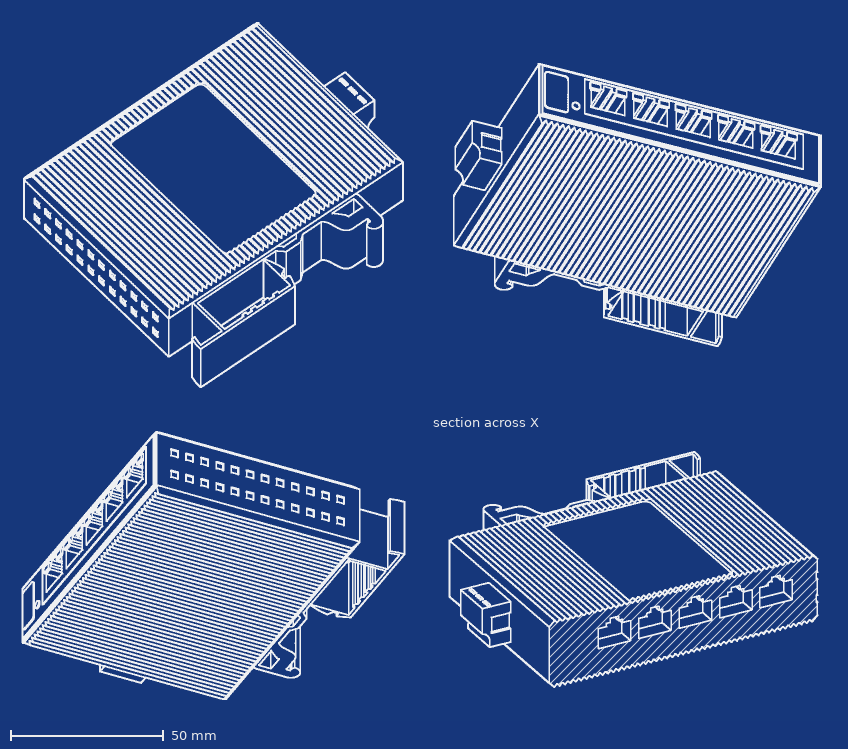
import cadquery as cq

overall_x = 91.5
overall_y = 110.5
overall_z = 24.9

housing_length = 100.0
housing_back_x = 75.2
raised_height = 0.4
face_x = raised_height
rib_pitch = 2.0
rib_height = rib_pitch / 2
rib_end_slope = 2.0
rib_tip_z = overall_z / 2
rib_valley_z = rib_tip_z - rib_height
side_half_height = rib_tip_z - rib_end_slope
body_front_x = 1.3
slope_front_x = 0.9
rib_count = round((housing_length - 2 * rib_end_slope) / rib_pitch) + 1

plate_rim_x = 0.8
plate_half_height = side_half_height + body_front_x - slope_front_x
rim_chamfer = 0.3
rim_width_y = 1.1
rim_width_z = 0.75

label_length_x = 60.0
label_length_y = 40.0
label_centre_x = 38.0
label_corner_radius = 2.5
label_floor_z = rib_valley_z - 0.45

vent_columns = 12
vent_pitch = 5.5
vent_first_x = 7.7
vent_row_z = 4.25
vent_size = 2.6
vent_depth = 0.5

port_count = 5
port_pitch = 15.05
port_first_y = 15.45
port_depth = 12.0
port_width = 11.9
port_floor_z = -2.2
port_shoulder_z = 5.1
port_neck_width = 5.8
port_neck_top_z = 6.3
port_key_width = 3.0
port_key_top_z = 7.8
light_width = 3.5
light_spacing = 9.3
light_bottom_z = 5.45
light_top_z = 7.6
light_sink = 1.0

insert_length = 77.2
insert_centre_y = 45.3
insert_top_z = 8.8
insert_bottom_z = -5.8
insert_depth = 0.2

name_plate_length = 8.2
name_plate_height = 15.0
name_plate_centre_y = 94.0
name_plate_corner_radius = 1.2
power_light_diameter = 2.6
power_light_y = 87.15
power_light_z = -3.75

plug_width = 15.0
plug_centre_x = 40.5
plug_top_z = 7.5
plug_step_y = 107.8
plug_nose_bottom_z = -1.9
plug_scoop_end_z = -6.0
plug_slot_count = 3
plug_slot_pitch = 4.7
plug_slot_length = 3.2
plug_slot_width = 1.1
plug_slot_y = 107.5
plug_slot_depth = 1.0
plug_recess_end_y = 107.1
plug_recess_top_z = 3.4
plug_recess_bottom_z = -2.5
plug_recess_depth = 1.0

clip_half_height = side_half_height
clip_wall = 1.2
clip_web_x = housing_back_x + clip_wall
clip_outer_wall = 1.3
spring_x = 76.8
spring_top_y = 63.8
roof_y = 40.0
clip_inner_x = overall_x - clip_outer_wall


def box(x0, x1, y0, y1, z0, z1):
    """Box between two opposite corners."""
    return cq.Workplane("XY").box(x1 - x0, y1 - y0, z1 - z0, centered=False).translate((x0, y0, z0))


def clip_prism(outline):
    """Extrude an XY outline over the full height of the clip."""
    return outline.close().extrude(clip_half_height, both=True)


def ribbed_edge():
    """Points along the upper ribs, from Y = 0 to the far side."""
    points = [(0, side_half_height)]
    for i in range(rib_count):
        tip_y = rib_end_slope + i * rib_pitch
        points.append((tip_y, rib_tip_z))
        if i < rib_count - 1:
            points.append((tip_y + rib_pitch / 2, rib_valley_z))
    points.append((housing_length, side_half_height))
    return points


def make_housing():
    upper = ribbed_edge()
    lower = [(y, -z) for y, z in reversed(upper)]
    ribbed = cq.Workplane("YZ").polyline(upper + lower).close().extrude(housing_back_x)

    half_outline = [
        (body_front_x, plate_half_height),
        (slope_front_x + rib_end_slope, rib_tip_z),
        (housing_back_x - rib_end_slope, rib_tip_z),
        (housing_back_x, side_half_height),
    ]
    mirrored = [(x, -z) for x, z in reversed(half_outline)]
    envelope = cq.Workplane("XZ").polyline(half_outline + mirrored).close().extrude(-housing_length)
    return ribbed.intersect(envelope)


def make_front_plate():
    """Plate over the port end: chamfered rim with a slightly raised face."""
    rim = box(plate_rim_x, body_front_x, 0, housing_length, -plate_half_height, plate_half_height)
    rim = rim.faces("<X").chamfer(rim_chamfer)
    face_half_height = plate_half_height - rim_width_z
    face = box(face_x, body_front_x, rim_width_y, housing_length - rim_width_y,
               -face_half_height, face_half_height)
    return rim.union(face)


def make_label_recess():
    recess = cq.Workplane("XY").workplane(offset=label_floor_z)
    recess = recess.center(label_centre_x, housing_length / 2).rect(label_length_x, label_length_y)
    return recess.extrude(overall_z).edges("|Z").fillet(label_corner_radius)


def make_vents():
    places = []
    for i in range(vent_columns):
        for z in (-vent_row_z, vent_row_z):
            places.append((vent_first_x + i * vent_pitch, z))
    return cq.Workplane("XZ").pushPoints(places).rect(vent_size, vent_size).extrude(-vent_depth)


def port_centres():
    return [port_first_y + i * port_pitch for i in range(port_count)]


def make_port_opening(centre_y):
    """Opening of one port: wide body, neck between the lights, latch key."""
    back_x = face_x + port_depth
    steps = (
        (port_width, port_shoulder_z),
        (port_neck_width, port_neck_top_z),
        (port_key_width, port_key_top_z),
    )
    opening = cq.Workplane("XY")
    for width, top_z in steps:
        opening = opening.union(
            box(0, back_x, centre_y - width / 2, centre_y + width / 2, port_floor_z, top_z)
        )
    return opening


def make_port_lights(centre_y):
    lights = cq.Workplane("XY")
    for side in (-1, 1):
        y = centre_y + side * light_spacing / 2
        lights = lights.union(
            box(0, face_x + light_sink, y - light_width / 2, y + light_width / 2,
                light_bottom_z, light_top_z)
        )
    return lights


def make_insert_recess():
    return box(0, face_x + insert_depth,
               insert_centre_y - insert_length / 2, insert_centre_y + insert_length / 2,
               insert_bottom_z, insert_top_z)


def make_name_plate():
    plate = cq.Workplane("YZ").center(name_plate_centre_y, 0).rect(name_plate_length, name_plate_height)
    return plate.extrude(face_x + light_sink).edges("|X").fillet(name_plate_corner_radius)


def make_power_light():
    light = cq.Workplane("YZ").center(power_light_y, power_light_z)
    return light.circle(power_light_diameter / 2).extrude(face_x + light_sink)


def make_plug():
    mid_y = (plug_step_y + overall_y) / 2
    mid_z = (plug_nose_bottom_z + plug_scoop_end_z) / 2
    scoop_bulge = 0.7
    profile = (
        cq.Workplane("YZ")
        .workplane(offset=plug_centre_x - plug_width / 2)
        .moveTo(housing_length, plug_top_z)
        .lineTo(overall_y, plug_top_z)
        .lineTo(overall_y, plug_nose_bottom_z)
        .threePointArc((mid_y - scoop_bulge, mid_z + scoop_bulge), (plug_step_y, plug_scoop_end_z))
        .lineTo(plug_step_y, -plug_top_z)
        .lineTo(housing_length, -plug_top_z)
        .close()
    )
    plug = profile.extrude(plug_width)

    slots = (
        cq.Workplane("XY")
        .workplane(offset=plug_top_z)
        .center(plug_centre_x, plug_slot_y)
        .rarray(plug_slot_pitch, 1, plug_slot_count, 1)
        .rect(plug_slot_length, plug_slot_width)
        .extrude(-plug_slot_depth)
    )
    side_x = plug_centre_x - plug_width / 2
    side_recess = box(side_x, side_x + plug_recess_depth, housing_length, plug_recess_end_y,
                      plug_recess_bottom_z, plug_recess_top_z)
    return plug.cut(slots).cut(side_recess)


def make_clip_hook():
    """Fixed arm with a rounded hook that grips one edge of the rail."""
    hook_radius = 3.1
    hook_x = 87.6
    arm_top_y = 80.2
    hook_y = arm_top_y - hook_radius
    throat_y = 76.2
    throat_x = 85.5
    hook_inner_x = 86.9
    shoulder_drop = 0.3
    window_top_y = 78.0
    window_outer_x = 80.8
    arm = clip_prism(
        cq.Workplane("XY")
        .moveTo(housing_back_x, arm_top_y - shoulder_drop)
        .lineTo(clip_web_x, arm_top_y)
        .lineTo(hook_x, arm_top_y)
        .threePointArc((hook_x + hook_radius, hook_y), (hook_x, hook_y - hook_radius))
        .lineTo(hook_inner_x, 75.0)
        .lineTo(hook_inner_x, throat_y)
        .lineTo(throat_x, throat_y)
        .lineTo(throat_x, 71.0)
        .spline([(83.5, 66.8), (78.4, 65.1), (spring_x, spring_top_y)], includeCurrent=True)
        .lineTo(housing_back_x, spring_top_y)
    )
    window = clip_prism(
        cq.Workplane("XY")
        .moveTo(clip_web_x, window_top_y)
        .lineTo(window_outer_x, window_top_y)
        .lineTo(window_outer_x, 72.0)
        .lineTo(79.7, 71.6)
        .lineTo(clip_web_x, 68.8)
    )
    return arm.cut(window)


def make_clip_spring():
    """Wall along the housing, bent outwards into a hollow bow."""
    bow_x = 78.8
    hollow_x = 76.7
    outer = clip_prism(
        cq.Workplane("XY").polyline([
            (housing_back_x, spring_top_y), (spring_x, spring_top_y), (spring_x, 55.8), (bow_x, 53.2),
            (bow_x, 47.1), (clip_web_x, 44.7), (clip_web_x, roof_y), (housing_back_x, roof_y),
        ])
    )
    hollow = clip_prism(
        cq.Workplane("XY").polyline([
            (housing_back_x, 54.3), (hollow_x, 53.1), (hollow_x, 47.8), (housing_back_x, 46.5),
        ])
    )
    return outer.cut(hollow)


def make_clip_frame():
    """Hollow rectangular frame with a ramped top, inner ridges and a foot."""
    cavity_bottom_y = 11.3
    cavity_top_y = 39.3
    frame_bottom_y = cavity_bottom_y - clip_wall
    foot_top_y = 1.2
    foot_bend_x = 89.2
    toe_x = 86.4
    toe_rise = 0.5
    notch_x = 86.8
    outer_corner_rise = 0.3
    outline = clip_prism(
        cq.Workplane("XY")
        .moveTo(housing_back_x, frame_bottom_y)
        .lineTo(clip_inner_x, frame_bottom_y)
        .lineTo(clip_inner_x, foot_top_y)
        .lineTo(foot_bend_x, foot_top_y)
        .lineTo(toe_x, foot_top_y + toe_rise)
        .lineTo(toe_x, toe_rise)
        .lineTo(foot_bend_x, 0)
        .lineTo(overall_x, 0)
        .lineTo(overall_x, roof_y + outer_corner_rise)
        .lineTo(87.3, 41.7)
        .lineTo(notch_x, 41.4)
        .lineTo(notch_x, roof_y)
        .lineTo(85.0, roof_y)
        .lineTo(83.8, 42.1)
        .threePointArc((80.2, 41.2), (clip_web_x, 39.6))
        .lineTo(clip_web_x, roof_y)
        .lineTo(housing_back_x, roof_y)
    )
    cavity = clip_prism(
        cq.Workplane("XY").polyline([
            (clip_web_x, cavity_bottom_y), (clip_inner_x, cavity_bottom_y),
            (clip_inner_x, cavity_top_y), (clip_web_x, cavity_top_y),
        ])
    )
    frame = outline.cut(cavity)

    ridge_height = 0.8
    ridge_spans = ((19.4, 21.1), (23.0, 25.1), (28.1, 30.4), (32.5, 34.5))
    for low_y, high_y in ridge_spans:
        ridge = box(clip_inner_x - ridge_height, clip_inner_x, low_y, high_y,
                    -clip_half_height, clip_half_height)
        frame = frame.union(ridge)
    return frame


housing = make_housing().union(make_front_plate())
housing = housing.cut(make_label_recess())
housing = housing.cut(make_vents())
housing = housing.cut(make_insert_recess())
for port_y in port_centres():
    housing = housing.cut(make_port_opening(port_y))
    housing = housing.union(make_port_lights(port_y))
housing = housing.union(make_name_plate())
housing = housing.union(make_power_light())

clip = make_clip_hook().union(make_clip_spring()).union(make_clip_frame())
result = housing.union(make_plug()).union(clip)